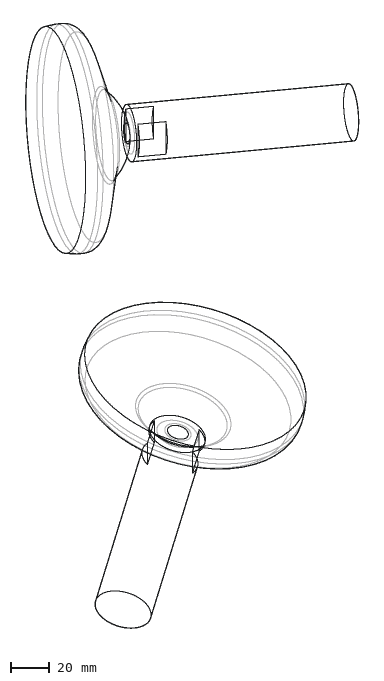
import cadquery as cq
import math

total_length = 159.0

base_radius = 60.0
underside_radius = 59.2
taper_height = 6.2
rim_top = 9.2
shoulder_radius = 7.5
slope_angle = math.radians(19.5)

seat_radius = 25.5
dome_radius = 23.8
dome_base = 28.0
dome_top = 38.9

stem_radius = 15.0
stem_start = 39.5
tip_radius = 11.0
tip_end_radius = 7.0
tip_depth = 1.1

flat_start = 41.0
flat_length = 15.0
across_flats = 24.0


def make_foot():
    """Base plate and ball seat, as one profile revolved about the Y axis."""
    center_x = base_radius - shoulder_radius
    mid_angle = (math.pi / 2 - slope_angle) / 2

    def on_shoulder(angle):
        return (
            center_x + shoulder_radius * math.cos(angle),
            rim_top + shoulder_radius * math.sin(angle),
        )

    slope_foot = on_shoulder(math.pi / 2 - slope_angle)
    slope_rise = (slope_foot[0] - seat_radius) * math.tan(slope_angle)
    slope_head = (seat_radius, slope_foot[1] + slope_rise)

    dome_height = dome_top - dome_base
    sphere_radius = (dome_radius**2 + dome_height**2) / (2 * dome_height)
    half_angle = math.asin(dome_radius / sphere_radius) / 2
    dome_middle = (
        sphere_radius * math.sin(half_angle),
        dome_top - sphere_radius * (1 - math.cos(half_angle)),
    )

    profile = (
        cq.Workplane("XY")
        .lineTo(underside_radius, 0)
        .lineTo(base_radius, taper_height)
        .lineTo(base_radius, rim_top)
        .threePointArc(on_shoulder(mid_angle), slope_foot)
        .lineTo(*slope_head)
        .lineTo(dome_radius, dome_base)
        .threePointArc(dome_middle, (0, dome_top))
        .close()
    )
    return profile.revolve(360, (0, 0, 0), (0, 1, 0))


def make_stem():
    """Plain round stem with a shallow conical tip, revolved about the Y axis."""
    tip_start = stem_start - tip_depth
    profile = (
        cq.Workplane("XY")
        .moveTo(0, tip_start)
        .lineTo(tip_end_radius, tip_start)
        .lineTo(tip_radius, stem_start)
        .lineTo(stem_radius, stem_start)
        .lineTo(stem_radius, total_length)
        .lineTo(0, total_length)
        .close()
    )
    return profile.revolve(360, (0, 0, 0), (0, 1, 0))


def cut_wrench_flats(stem):
    """Two opposite flats facing -X and +X."""
    flat_depth = stem_radius - across_flats / 2
    flat_center_x = (across_flats + flat_depth) / 2
    flat_center_y = flat_start + flat_length / 2
    for side in (-1, 1):
        cutter = cq.Workplane("XY").box(flat_depth, flat_length, 2 * stem_radius)
        stem = stem.cut(cutter.translate((side * flat_center_x, flat_center_y, 0)))
    return stem


result = make_foot().union(cut_wrench_flats(make_stem()))